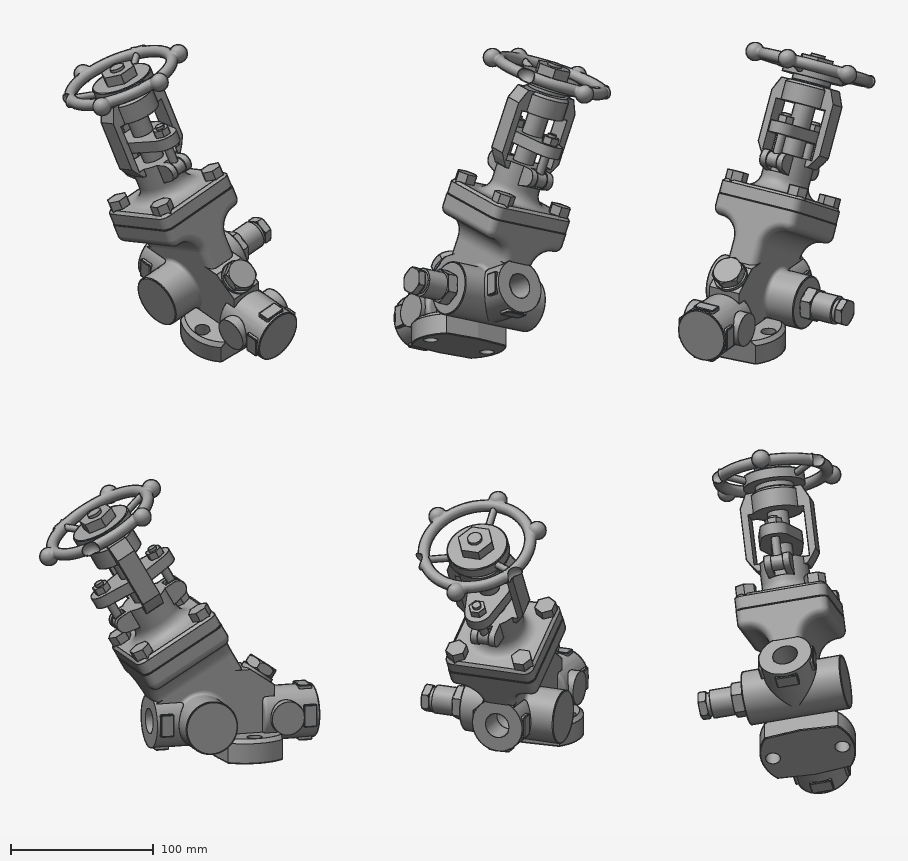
import cadquery as cq
import math

STEM_TILT = 30.0
STEM_X = 12.7
SMALL_CHAMFER = 0.6

PIPE_R = 19.0
PIPE_LEFT_X = -34.9
PIPE_RIGHT_X = 85.0
OUTLET_START_X = 44.8
OUTLET_SHOULDER_R = 2.5
BORE_R = 8.9
BORE_DEPTH = 20.2
BORE_TIP_HALF_ANGLE = 59.0
BORE_TIP_DEPTH = BORE_R / math.tan(math.radians(BORE_TIP_HALF_ANGLE))
CROSS_BOSS_R = 19.0
CROSS_BOSS_HALF = 35.7
BOSS_FILLET_R = 2.8
BOSS_FILLET_LOW_Z = -10.0
SIDE_BOSS_X = 60.5
SIDE_BOSS_R = 11.9
SIDE_BOSS_HALF = 22.4
PAD_X = (-27.6, 77.8)
PAD_LENGTH = 9.7
PAD_WIDTH = 16.0
PAD_REACH = 19.8
PAD_CORNER_R = 1.2

WEB_HALF = 12.0
EDGE_ROUND = 5.5
FLANGE_HALF = 33.0
FLANGE_CORNER_R = 6.3
FLANGE_BOTTOM = 50.5
FLANGE_JOINT = 64.7
GASKET_THICKNESS = 0.6
GASKET_INSET = 0.6
FLANGE_TOP = 76.2
COVER_CHAMFER = 2.0
WEB_FLARE_R = 14.7
WEB_TOP = FLANGE_BOTTOM - WEB_FLARE_R
WEB_SHOULDER_TOP = 34.7
WEB_SHOULDER_LENGTH = 5.0
WEB_RIGHT_X = 53.5
WEB_BOTTOM_Z = -12.0
BOLT_OFFSET = 24.8
BOLT_FLATS = 13.1
BOLT_HEAD_HEIGHT = 6.7

PLUG_TILT = 34.5
PLUG_TOP = (49.2, 36.5)
PLUG_HEX_CORNERS = 23.4
PLUG_CHAMFER = 1.5
PLUG_HEX_HEIGHT = 6.9
PLUG_BOSS_R = 11.9
PLUG_BOSS_DEPTH = 18.2

FOOT_X = 34.7
FOOT_BOTTOM = -28.2
FOOT_TOP = -10.9
FOOT_HALF_LENGTH = 22.4
FOOT_CORNER = (20.2, 26.5)
FOOT_HALF_WIDTH = 33.7
FOOT_TOP_CHAMFER = 2.8
FOOT_HOLE_D = 10.5
FOOT_HOLE_Y = 25.0

SIDE_VALVE_END = 69.0
SIDE_COLLAR_D = 20.0
SIDE_HEX_START = 36.5
SIDE_HEX_END = 44.5
SIDE_HEX_CORNERS = 25.0
SIDE_HEX_CHAMFER = 0.8
SIDE_BODY_END = 60.5
SIDE_NECK_D = 16.5
SIDE_CAP_START = 63.3
SIDE_CAP_CORNERS = 20.0

NECK_R = 17.1
NECK_TOP = 103.3
NECK_FLARE_R = 9.7
LUG_X = 22.5
LUG_Z = 97.2
LUG_R = 6.0
LUG_LOW_ANGLE = 75.0
LUG_ROOT_X = 15.1
LUG_ROOT_Z = 87.1
LUG_ROOT_RISE = 2.0
LUG_HALF = 9.0
LUG_SLOT = 8.5
EYE_R = 5.2
GLAND_BOTTOM = 115.5
GLAND_TOP = 123.8
GLAND_CENTRE_R = 15.3
GLAND_END_R = 9.9
STUD_D = 6.0
STUD_TOP = 130.9
GLAND_NUT_TOP = 128.9
GLAND_NUT_FLATS = 10.5

STEM_D = 15.0
YOKE_R = 17.5
YOKE_BOTTOM = 140.0
YOKE_TOP = 155.3
YOKE_CHAMFER = 2.0
ARM_HALF_WIDTH = 7.0
ARM_OUTER_Y = 25.0
ARM_INNER_Y = 20.0
ARM_SHOULDER_Z = 145.2
ARM_BEND_Z = 107.9
ARM_BEND_END = (21.8, 102.9)
ARM_FOOT_Y = 18.0
ARM_FOOT_Z = 98.0

RIM_R = 38.1
RIM_TUBE_R = 4.0
RIM_Z = 167.5
BALL_CIRCLE_R = 43.5
BALL_R = 6.5
BALL_FILLET = 1.5
BALL_STEP = 60
SOCKET_ANGLES = (120, 240)
SPOKE_ANGLES = (0, 120, 240)
SPOKE_D = 4.8
SPOKE_HUB_R = 16.1
SPOKE_HUB_Z = 162.4
HUB_R = 21.8
HUB_BOTTOM = 159.7
HUB_TOP = 167.4
SLEEVE_R = 13.7
SLEEVE_BOTTOM = 156.3
SPINDLE_R = 8.0
WHEEL_NUT_TOP = 174.7
WHEEL_NUT_FLATS = 22.2
SPINDLE_TIP_R = 5.0
SPINDLE_TIP_TOP = 176.7

COS_30 = math.cos(math.radians(30))


def disc(radius, bottom, top, x=0.0, y=0.0):
    """Vertical cylinder between two heights."""
    return cq.Workplane("XY", origin=(x, y, bottom)).circle(radius).extrude(top - bottom)


def hexagon(corners, bottom, top, x=0.0, y=0.0, turn=0.0):
    """Vertical hexagonal prism; its corners point along X before it is turned."""
    prism = cq.Workplane("XY").polygon(6, corners).extrude(top - bottom)
    return prism.rotate((0, 0, 0), (0, 0, 1), turn).translate((x, y, bottom))


def chamfered_hexagon(corners, bottom, top, chamfer, turn=0.0):
    """Hexagonal prism with its corners turned off conically at the top and bottom."""
    blank = disc(corners / 2, bottom, top).faces("<Z or >Z").chamfer(chamfer)
    return hexagon(corners, bottom, top, turn=turn).intersect(blank)


def y_cylinder(radius, start, end, x=0.0, z=0.0):
    """Cylinder lying along Y."""
    return cq.Workplane("XZ", origin=(x, start, z)).circle(radius).extrude(start - end)


def x_cylinder(radius, start, end):
    """Cylinder on the flow line."""
    return cq.Workplane("YZ", origin=(start, 0, 0)).circle(radius).extrude(end - start)


def stem_point(across, height):
    """X and Z of a point given across and along the tilted stem axis."""
    tilt = math.radians(STEM_TILT)
    x = STEM_X + across * math.cos(tilt) - height * math.sin(tilt)
    z = across * math.sin(tilt) + height * math.cos(tilt)
    return (x, z)


def on_stem(part):
    """Tilt an upright part onto the stem axis."""
    return part.rotate((0, 0, 0), (0, 1, 0), -STEM_TILT).translate((STEM_X, 0, 0))


def ring_point(radius, angle, height):
    """Point on a horizontal circle about the stem axis."""
    turn = math.radians(angle)
    return cq.Vector(radius * math.cos(turn), radius * math.sin(turn), height)



def make_pipes():
    inlet = x_cylinder(PIPE_R, PIPE_LEFT_X, 0)
    outlet = x_cylinder(PIPE_R, OUTLET_START_X, PIPE_RIGHT_X)
    outlet = outlet.faces(">X").chamfer(SMALL_CHAMFER).faces("<X").edges().fillet(OUTLET_SHOULDER_R)
    pipes = inlet.union(outlet)
    boss = y_cylinder(CROSS_BOSS_R, -CROSS_BOSS_HALF, CROSS_BOSS_HALF)
    boss = boss.faces("<Y or >Y").chamfer(SMALL_CHAMFER)
    pipes = pipes.union(boss)
    pipes = pipes.union(y_cylinder(SIDE_BOSS_R, -SIDE_BOSS_HALF, SIDE_BOSS_HALF, x=SIDE_BOSS_X))
    for x in PAD_X:
        pad = cq.Workplane("XY").box(PAD_LENGTH, PAD_WIDTH, 2 * PAD_REACH)
        pad = pad.edges("|Z").fillet(PAD_CORNER_R).faces("<Z or >Z").chamfer(SMALL_CHAMFER)
        pad = pad.translate((x, 0, 0))
        pipes = pipes.union(pad).union(pad.rotate((0, 0, 0), (1, 0, 0), 90))
    return pipes


def make_bore():
    """Blind drilled hole from the inlet end, with a conical bottom."""
    profile = (
        cq.Workplane("XY")
        .moveTo(PIPE_LEFT_X, 0)
        .lineTo(PIPE_LEFT_X, BORE_R)
        .lineTo(PIPE_LEFT_X + BORE_DEPTH, BORE_R)
        .lineTo(PIPE_LEFT_X + BORE_DEPTH + BORE_TIP_DEPTH, 0)
        .close()
    )
    return profile.revolve(360, (0, 0, 0), (1, 0, 0))


def make_web():
    """Flat web that carries the bonnet flange, the plug and the foot."""
    plug_slope = math.tan(math.radians(PLUG_TILT))
    left = stem_point(-FLANGE_HALF, WEB_TOP)
    right = stem_point(FLANGE_HALF, WEB_TOP)
    tilt = math.radians(STEM_TILT)
    notch_x = right[0] + (right[1] - WEB_SHOULDER_TOP) * math.tan(tilt)
    shoulder_x = notch_x + WEB_SHOULDER_LENGTH
    outline = [
        left,
        right,
        (notch_x, WEB_SHOULDER_TOP),
        (shoulder_x, WEB_SHOULDER_TOP),
        (WEB_RIGHT_X, WEB_SHOULDER_TOP - (WEB_RIGHT_X - shoulder_x) * plug_slope),
        (WEB_RIGHT_X, WEB_BOTTOM_Z),
        (STEM_X, WEB_BOTTOM_Z),
        (left[0], 0),
    ]
    web = cq.Workplane("XZ", origin=(0, WEB_HALF, 0)).polyline(outline).close().extrude(2 * WEB_HALF)
    stem_direction = cq.Vector(-math.sin(tilt), 0, math.cos(tilt))
    return web.edges(cq.selectors.ParallelDirSelector(stem_direction)).fillet(EDGE_ROUND)


def make_body_flange():
    """Square flange flaring down into the web on both sides."""
    flare_y = WEB_HALF + WEB_FLARE_R
    arc_offset = WEB_FLARE_R * math.sin(math.radians(45))
    arc_mid = (flare_y - arc_offset, WEB_TOP + arc_offset)
    profile = (
        cq.Workplane("YZ", origin=(-FLANGE_HALF, 0, 0))
        .moveTo(WEB_HALF, WEB_TOP)
        .threePointArc(arc_mid, (flare_y, FLANGE_BOTTOM))
        .lineTo(FLANGE_HALF, FLANGE_BOTTOM)
        .lineTo(FLANGE_HALF, FLANGE_JOINT)
        .lineTo(-FLANGE_HALF, FLANGE_JOINT)
        .lineTo(-FLANGE_HALF, FLANGE_BOTTOM)
        .lineTo(-flare_y, FLANGE_BOTTOM)
        .threePointArc((-arc_mid[0], arc_mid[1]), (-WEB_HALF, WEB_TOP))
        .close()
    )
    flange = profile.extrude(2 * FLANGE_HALF)
    corners = flange.edges("|Z").vals()
    flares = flange.faces("<X or >X").edges("%CIRCLE").vals()
    underside = flange.edges("%LINE").edges(cq.selectors.BoxSelector(
        (-2 * FLANGE_HALF, -2 * FLANGE_HALF, FLANGE_BOTTOM - 2),
        (2 * FLANGE_HALF, 2 * FLANGE_HALF, FLANGE_BOTTOM + 2),
    )).vals()
    rims = [edge for edge in underside if abs(edge.Center().y) > flare_y + 0.2]
    return flange.newObject(corners + flares + rims).fillet(EDGE_ROUND)


def make_boss_fillet():
    """Concave blend between the cross boss and the web, only above the foot."""
    outer_r = CROSS_BOSS_R + BOSS_FILLET_R
    tip_y = WEB_HALF + BOSS_FILLET_R
    inset = BOSS_FILLET_R * math.sin(math.radians(45))
    profile = (
        cq.Workplane("XY")
        .lineTo(outer_r, 0)
        .lineTo(outer_r, WEB_HALF)
        .threePointArc((outer_r - inset, tip_y - inset), (CROSS_BOSS_R, tip_y))
        .lineTo(0, tip_y)
        .close()
    )
    blend = profile.revolve(360, (0, 0, 0), (0, 1, 0))
    blend = blend.union(blend.mirror("XZ"))
    keep = cq.Workplane("XY", origin=(0, 0, BOSS_FILLET_LOW_Z))
    keep = keep.rect(2 * outer_r, 2 * tip_y).extrude(outer_r - BOSS_FILLET_LOW_Z)
    return blend.intersect(keep)


def make_plug():
    """Hexagon plug on its boss, leaning toward the outlet."""
    plug = chamfered_hexagon(PLUG_HEX_CORNERS, -PLUG_HEX_HEIGHT, 0, PLUG_CHAMFER)
    plug = plug.union(disc(PLUG_BOSS_R, -PLUG_HEX_HEIGHT - PLUG_BOSS_DEPTH, -PLUG_HEX_HEIGHT))
    return plug.rotate((0, 0, 0), (0, 1, 0), PLUG_TILT).translate((PLUG_TOP[0], 0, PLUG_TOP[1]))


def make_foot():
    corner_x, corner_y = FOOT_CORNER
    foot = (
        cq.Workplane("XY", origin=(FOOT_X, 0, FOOT_BOTTOM))
        .moveTo(-FOOT_HALF_LENGTH, 0)
        .lineTo(-corner_x, corner_y)
        .threePointArc((0, FOOT_HALF_WIDTH), (corner_x, corner_y))
        .lineTo(FOOT_HALF_LENGTH, 0)
        .lineTo(corner_x, -corner_y)
        .threePointArc((0, -FOOT_HALF_WIDTH), (-corner_x, -corner_y))
        .close()
        .extrude(FOOT_TOP - FOOT_BOTTOM)
    )
    foot = foot.faces(">Z").edges("%CIRCLE").chamfer(FOOT_TOP_CHAMFER)
    foot = foot.faces("<Z").chamfer(SMALL_CHAMFER)
    for y in (-FOOT_HOLE_Y, FOOT_HOLE_Y):
        foot = foot.cut(disc(FOOT_HOLE_D / 2, FOOT_BOTTOM, FOOT_TOP, FOOT_X, y))
    return foot


def make_side_valve():
    """Stack of rounds and hexagons standing on the back of the cross boss."""
    stack = disc(SIDE_COLLAR_D / 2, 0, SIDE_BODY_END)
    nut = chamfered_hexagon(SIDE_HEX_CORNERS, SIDE_HEX_START, SIDE_HEX_END, SIDE_HEX_CHAMFER, turn=90)
    cap = chamfered_hexagon(SIDE_CAP_CORNERS, SIDE_CAP_START, SIDE_VALVE_END, SIDE_HEX_CHAMFER, turn=90)
    stack = stack.union(nut)
    stack = stack.union(disc(SIDE_NECK_D / 2, SIDE_BODY_END, SIDE_CAP_START))
    stack = stack.union(cap)
    return stack.rotate((0, 0, 0), (1, 0, 0), -90)



def make_cover():
    """Bolted cover on a gasket that sits slightly inside the flange outline."""
    side = 2 * FLANGE_HALF
    gasket_side = side - 2 * GASKET_INSET
    underside = FLANGE_JOINT + GASKET_THICKNESS
    cover = cq.Workplane("XY", origin=(0, 0, underside)).rect(side, side).extrude(FLANGE_TOP - underside)
    cover = cover.edges("|Z").fillet(FLANGE_CORNER_R).faces(">Z").chamfer(COVER_CHAMFER)
    gasket = cq.Workplane("XY", origin=(0, 0, FLANGE_JOINT)).rect(gasket_side, gasket_side)
    gasket = gasket.extrude(GASKET_THICKNESS).edges("|Z").fillet(FLANGE_CORNER_R)
    cover = cover.union(gasket)
    for x_side in (-1, 1):
        for y_side in (-1, 1):
            turn = 90 if x_side == y_side else 0
            head = hexagon(BOLT_FLATS / COS_30, FLANGE_TOP - COVER_CHAMFER, FLANGE_TOP + BOLT_HEAD_HEIGHT,
                           x_side * BOLT_OFFSET, y_side * BOLT_OFFSET, turn)
            cover = cover.union(head)
    return cover


def make_neck():
    """Bonnet neck with a concave flare onto the cover."""
    flare_r = NECK_R + NECK_FLARE_R
    flare_z = FLANGE_TOP + NECK_FLARE_R
    inset = NECK_FLARE_R * math.sin(math.radians(45))
    profile = (
        cq.Workplane("XZ")
        .moveTo(0, FLANGE_TOP)
        .lineTo(flare_r, FLANGE_TOP)
        .threePointArc((flare_r - inset, flare_z - inset), (NECK_R, flare_z))
        .lineTo(NECK_R, NECK_TOP)
        .lineTo(0, NECK_TOP)
        .close()
    )
    return profile.revolve(360, (0, 0, 0), (0, 1, 0))


def make_lug(side):
    """Forked lug with the eye of a swing stud in its slot."""
    lean = math.radians(LUG_LOW_ANGLE)
    low = (LUG_X + LUG_R * math.cos(lean), LUG_Z - LUG_R * math.sin(lean))
    lug = (
        cq.Workplane("XZ", origin=(0, LUG_HALF, 0))
        .moveTo(0, NECK_TOP)
        .lineTo(LUG_X, NECK_TOP)
        .threePointArc((LUG_X + LUG_R, LUG_Z), low)
        .lineTo(LUG_ROOT_X, LUG_ROOT_Z + LUG_ROOT_RISE)
        .lineTo(0, LUG_ROOT_Z)
        .close()
        .extrude(2 * LUG_HALF)
    )
    slot_length = 2 * LUG_R + LUG_X - NECK_R
    slot_height = 2 * (NECK_TOP - LUG_ROOT_Z)
    slot = cq.Workplane("XY").box(slot_length, LUG_SLOT, slot_height)
    slot = slot.translate((NECK_R + slot_length / 2, 0, LUG_Z))
    eye = y_cylinder(EYE_R, -LUG_SLOT / 2, LUG_SLOT / 2, LUG_X, LUG_Z)
    bridge = cq.Workplane("XY").box(LUG_X - LUG_ROOT_X, LUG_SLOT, EYE_R)
    bridge = bridge.translate(((LUG_X + LUG_ROOT_X) / 2, 0, LUG_Z))
    lug = lug.cut(slot).union(eye).union(bridge)
    return lug if side > 0 else lug.mirror("YZ")


def make_gland():
    """Lozenge gland plate with its two studs and nuts."""
    sine = (GLAND_CENTRE_R - GLAND_END_R) / LUG_X
    cosine = math.sqrt(1 - sine ** 2)
    inner = (GLAND_CENTRE_R * sine, GLAND_CENTRE_R * cosine)
    outer = (LUG_X + GLAND_END_R * sine, GLAND_END_R * cosine)
    tip = LUG_X + GLAND_END_R
    gland = (
        cq.Workplane("XY", origin=(0, 0, GLAND_BOTTOM))
        .moveTo(*inner)
        .lineTo(*outer)
        .threePointArc((tip, 0), (outer[0], -outer[1]))
        .lineTo(inner[0], -inner[1])
        .threePointArc((0, -GLAND_CENTRE_R), (-inner[0], -inner[1]))
        .lineTo(-outer[0], -outer[1])
        .threePointArc((-tip, 0), (-outer[0], outer[1]))
        .lineTo(-inner[0], inner[1])
        .threePointArc((0, GLAND_CENTRE_R), inner)
        .close()
        .extrude(GLAND_TOP - GLAND_BOTTOM)
    )
    for x in (-LUG_X, LUG_X):
        gland = gland.union(disc(STUD_D / 2, LUG_Z, STUD_TOP, x))
        gland = gland.union(hexagon(GLAND_NUT_FLATS / COS_30, GLAND_TOP, GLAND_NUT_TOP, x, turn=90))
    return gland


def make_yoke():
    """Top collar on two arms that bend in to the neck."""
    collar = disc(YOKE_R, YOKE_BOTTOM, YOKE_TOP).faces(">Z").chamfer(YOKE_CHAMFER)
    half_frame = (
        cq.Workplane("YZ", origin=(-ARM_HALF_WIDTH, 0, 0))
        .moveTo(0, YOKE_TOP)
        .lineTo(ARM_INNER_Y, YOKE_TOP)
        .lineTo(ARM_OUTER_Y, ARM_SHOULDER_Z)
        .lineTo(ARM_OUTER_Y, ARM_BEND_Z)
        .lineTo(*ARM_BEND_END)
        .lineTo(ARM_FOOT_Y, ARM_FOOT_Z)
        .lineTo(0, ARM_FOOT_Z)
        .lineTo(0, NECK_TOP)
        .lineTo(ARM_INNER_Y, NECK_TOP)
        .lineTo(ARM_INNER_Y, YOKE_BOTTOM)
        .lineTo(0, YOKE_BOTTOM)
        .close()
        .extrude(2 * ARM_HALF_WIDTH)
    )
    return collar.union(half_frame).union(half_frame.mirror("XZ"))



def make_ball(angle):
    """Grip ball of the rim at one angle."""
    ball = cq.Workplane("XY").sphere(BALL_R).translate((BALL_CIRCLE_R, 0, RIM_Z))
    return ball.rotate((0, 0, 0), (0, 0, 1), angle)


def make_rim():
    """Round rim with blended grip balls; at the sockets the ball itself is missing."""
    rim = cq.Workplane("XZ").center(-RIM_R, RIM_Z).circle(RIM_TUBE_R)
    rim = rim.revolve(360, (RIM_R, 0, 0), (RIM_R, 1, 0))
    rim = rim.rotate((0, 0, 0), (0, 0, 1), BALL_STEP / 2)
    for angle in range(0, 360, BALL_STEP):
        rim = rim.union(make_ball(angle), clean=False)
    rim = rim.edges("%BSPLINE").fillet(BALL_FILLET)
    for angle in SOCKET_ANGLES:
        rim = rim.cut(make_ball(angle), clean=False)
    return rim


def make_wheel():
    wheel = make_rim()
    for angle in SPOKE_ANGLES:
        start = ring_point(SPOKE_HUB_R, angle, SPOKE_HUB_Z)
        end = ring_point(RIM_R - RIM_TUBE_R / 2, angle, RIM_Z)
        reach = end - start
        wheel = wheel.union(cq.Workplane(cq.Solid.makeCylinder(SPOKE_D / 2, reach.Length, start, reach)))
    wheel = wheel.union(disc(HUB_R, HUB_BOTTOM, HUB_TOP).faces(">Z").chamfer(SMALL_CHAMFER))
    wheel = wheel.union(disc(SLEEVE_R, SLEEVE_BOTTOM, HUB_BOTTOM))
    wheel = wheel.union(disc(SPINDLE_R, YOKE_TOP, SLEEVE_BOTTOM))
    wheel = wheel.union(hexagon(WHEEL_NUT_FLATS / COS_30, HUB_TOP, WHEEL_NUT_TOP, turn=90))
    return wheel.union(disc(SPINDLE_TIP_R, WHEEL_NUT_TOP, SPINDLE_TIP_TOP))



body = make_pipes().union(make_web()).union(make_boss_fillet()).union(make_plug()).union(make_foot())
body = body.union(make_side_valve())

upper = make_body_flange().union(make_cover()).union(make_neck())
upper = upper.union(make_lug(1)).union(make_lug(-1)).union(make_gland())
upper = upper.union(make_yoke()).union(disc(STEM_D / 2, NECK_TOP, YOKE_TOP)).union(make_wheel())

result = body.union(on_stem(upper)).cut(make_bore())